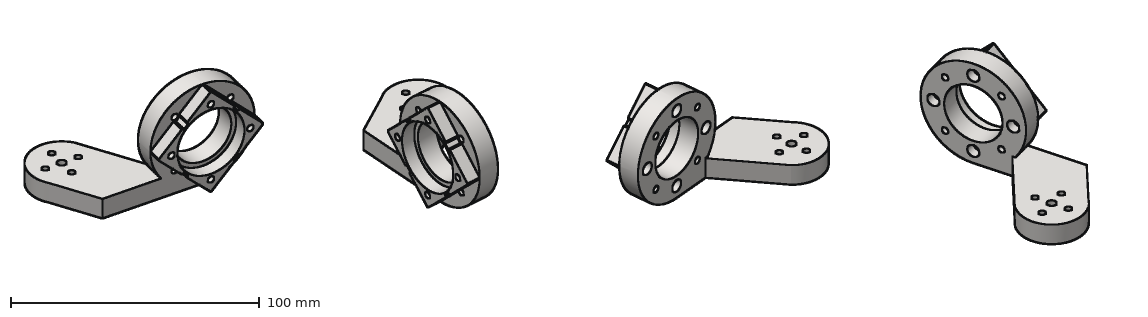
import math

import cadquery as cq

arm_radius = 15.0
arm_half_width = 14.88
arm_height = 9.7
arm_angle = 31.6
pivot_hole_diameter = 4.0
screw_hole_diameter = 3.0
arm_screw_offset = 7.75

ring_diameter = 49.0
ring_radius = ring_diameter / 2
ring_thickness = 9.8
ring_front_x = 20.2
ring_back_x = ring_front_x + ring_thickness
ring_center_y = 48.0
ring_center_z = ring_radius
bore_diameter = 27.0
ring_screw_radius = 18.5
counterbore_diameter = 5.6
counterbore_depth = 5.0

plate_side = 35.0
plate_thickness = 6.5
plate_back_x = ring_back_x + plate_thickness
recess_diameter = 31.5
notch_width = 3.7
notch_depth = 1.0
notch_wall_angle = 30.0
plate_tilt = 45.0


def ring_plane(x):
    """Plane normal to X on the ring axis, with local x along +Y and local y along +Z."""
    return cq.Workplane("YZ", origin=(x, ring_center_y, ring_center_z))


def make_arm():
    """Arm with a round pivot end and parallel sides, plus a foot running below the ring."""
    direction = math.radians(arm_angle)
    slope = math.tan(direction)
    corner_angle = direction + math.acos(arm_half_width / arm_radius)
    corner_x = arm_radius * math.sin(corner_angle)
    corner_y = arm_radius * math.cos(corner_angle)
    upper_side_y = corner_y + slope * (ring_front_x + corner_x)
    lower_side_y = -corner_y + slope * (ring_back_x - corner_x)
    mid_arc = (-arm_radius * math.cos(direction), -arm_radius * math.sin(direction))
    return (
        cq.Workplane("XY")
        .moveTo(corner_x, -corner_y)
        .lineTo(ring_back_x, lower_side_y)
        .lineTo(ring_back_x, ring_center_y)
        .lineTo(ring_front_x, ring_center_y)
        .lineTo(ring_front_x, upper_side_y)
        .lineTo(-corner_x, corner_y)
        .threePointArc(mid_arc, (corner_x, -corner_y))
        .close()
        .extrude(arm_height)
    )


def make_notch():
    """Flared notch in the middle of the plate's +Y side, before the plate is tilted."""
    mouth = plate_side / 2
    floor = mouth - notch_depth
    mouth_half = notch_width / 2
    floor_half = mouth_half - notch_depth * math.tan(math.radians(notch_wall_angle))
    outline = [(mouth, -mouth_half), (floor, -floor_half), (floor, floor_half), (mouth, mouth_half)]
    return ring_plane(ring_back_x).polyline(outline).close().extrude(plate_thickness)


def make_plate():
    """Tilted square with its corners trimmed to the ring and a notch in each side."""
    plate = ring_plane(ring_back_x).rect(plate_side, plate_side).extrude(plate_thickness)
    axis_start = (0, ring_center_y, ring_center_z)
    axis_end = (1, ring_center_y, ring_center_z)
    for side in range(4):
        plate = plate.cut(make_notch().rotate(axis_start, axis_end, side * 90))
    tilted = plate.rotate(axis_start, axis_end, plate_tilt)
    trim = ring_plane(ring_back_x).circle(ring_radius).extrude(plate_thickness)
    return tilted.intersect(trim)


def drill_arm(body):
    """Pivot hole with four screw holes around it."""
    pivot = cq.Workplane("XY").circle(pivot_hole_diameter / 2).extrude(arm_height)
    screws = (
        cq.Workplane("XY")
        .polarArray(arm_screw_offset, 0, 360, 4)
        .circle(screw_hole_diameter / 2)
        .extrude(arm_height)
    )
    return body.cut(pivot).cut(screws)


def drill_ring(body):
    """Eight screw holes, of which the upright cross of four is counterbored in front."""
    total_depth = plate_back_x - ring_front_x
    screws = (
        ring_plane(ring_front_x)
        .polarArray(ring_screw_radius, 0, 360, 8)
        .circle(screw_hole_diameter / 2)
        .extrude(total_depth)
    )
    counterbores = (
        ring_plane(ring_front_x)
        .polarArray(ring_screw_radius, 0, 360, 4)
        .circle(counterbore_diameter / 2)
        .extrude(counterbore_depth)
    )
    return body.cut(screws).cut(counterbores)


def bore_ring(body):
    """Bore through the ring, opening into a wider recess through the plate."""
    bore = ring_plane(ring_front_x).circle(bore_diameter / 2).extrude(ring_thickness)
    recess = ring_plane(ring_back_x).circle(recess_diameter / 2).extrude(plate_thickness)
    return body.cut(bore).cut(recess)


ring = ring_plane(ring_front_x).circle(ring_radius).extrude(ring_thickness)
body = make_arm().union(ring).union(make_plate())
result = drill_arm(drill_ring(bore_ring(body)))